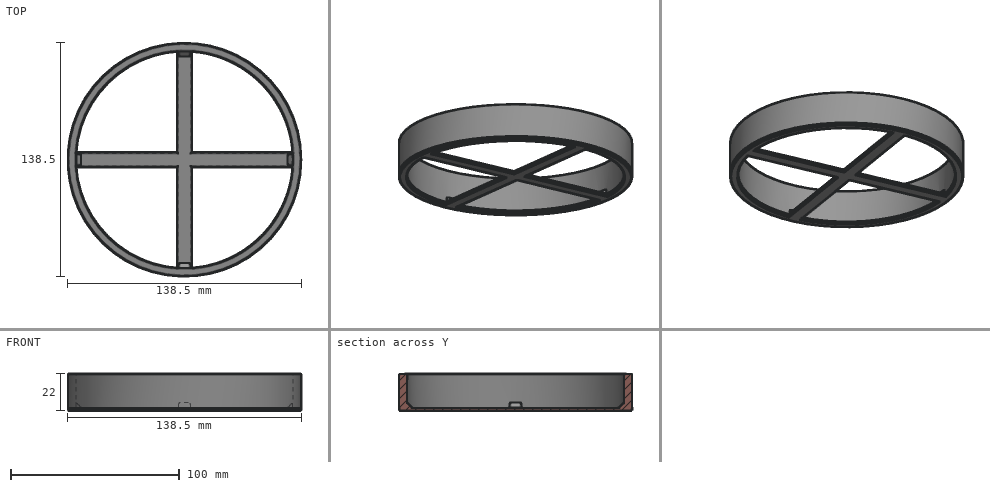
import cadquery as cq

outer_diameter = 138.5
inner_diameter = 128.5
ring_height = 22.0

edge_fillet = 1.0

base_thickness = 2.0
base_bevel = 0.7
spoke_width = 9.0
spoke_count = 4
wall_start = 1.7

gusset_width = spoke_width - 2 * edge_fillet
gusset_size = 3.0
gusset_fillet = 1.0

outer_radius = outer_diameter / 2
inner_radius = inner_diameter / 2
middle_radius = (outer_radius + inner_radius) / 2


def make_tube(bottom, top):
    """Plain tube with the ring's diameters between two heights."""
    profile = cq.Workplane("XY", origin=(0, 0, bottom)).circle(outer_radius).circle(inner_radius)
    return profile.extrude(top - bottom)


def make_wall():
    """Upright ring wall with rounded top edges."""
    return make_tube(wall_start, ring_height).faces(">Z").edges().fillet(edge_fillet)


def make_base():
    """Rim and crossed spokes, beveled below and rounded above."""
    length = 2 * middle_radius
    bar_x = cq.Workplane("XY").rect(length, spoke_width).extrude(base_thickness)
    bar_y = cq.Workplane("XY").rect(spoke_width, length).extrude(base_thickness)
    base = make_tube(0, base_thickness).union(bar_x).union(bar_y).clean()
    base = base.faces("<Z").edges().chamfer(base_bevel)
    return base.faces(">Z").edges().fillet(edge_fillet)


def make_gusset():
    """45 degree wedge on the +X spoke, rising toward the ring wall."""
    toe = inner_radius - gusset_size
    rise = middle_radius - toe
    wedge = (
        cq.Workplane("XZ", origin=(0, gusset_width / 2, base_thickness))
        .moveTo(toe, 0)
        .lineTo(middle_radius, 0)
        .lineTo(middle_radius, rise)
        .close()
        .extrude(gusset_width)
    )
    uphill = cq.selectors.DirectionMinMaxSelector(cq.Vector(-1, 0, 1))
    return wedge.faces(uphill).edges("not(|Y)").fillet(gusset_fillet)


result = make_base().union(make_wall())
gusset = make_gusset()
for index in range(spoke_count):
    angle = index * 360 / spoke_count
    result = result.union(gusset.rotate((0, 0, 0), (0, 0, 1), angle))